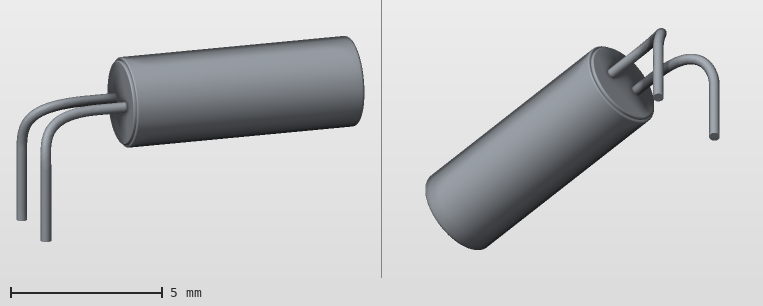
import cadquery as cq
can_diameter = 3.0
can_radius = can_diameter / 2
axis_height = can_radius
body_length = 8.0
back_rounding = 0.1
front_rounding = 0.05

plug_diameter = 2.8
plug_protrusion = 0.1
plug_rounding = 0.05

lead_diameter = 0.35
pitch_at_plug = 1.1
pitch_at_tip = 2.54
lead_reach = 3.0
level_length = 1.0
drop_length = 2.5
tip_height = -2.6
bend_end_height = tip_height + drop_length
drop_handle = 0.85

plug_face_y = lead_reach
bend_start_y = plug_face_y - level_length
can_front_y = plug_face_y + plug_protrusion
can_length = body_length - plug_protrusion


def cylinder_along_y(diameter, start_y, length):
    """Cylinder on the can axis, running from start_y toward +Y."""
    start_plane = cq.Plane(origin=(0, start_y, axis_height), xDir=(1, 0, 0), normal=(0, 1, 0))
    return cq.Workplane(start_plane).circle(diameter / 2).extrude(length)


def make_can():
    can = cylinder_along_y(can_diameter, can_front_y, can_length)
    can = can.faces(">Y").edges().fillet(back_rounding)
    return can.faces("<Y").edges().fillet(front_rounding)


def make_plug():
    plug = cylinder_along_y(plug_diameter, plug_face_y, 2 * plug_protrusion)
    return plug.faces("<Y").edges().fillet(plug_rounding)


def make_lead(side):
    """Bent lead on the +X side (side = 1) or the -X side (side = -1)."""
    plug_x = side * pitch_at_plug / 2
    tip_x = side * pitch_at_tip / 2
    lead_start = cq.Vector(plug_x, plug_face_y, axis_height)
    bend_start = cq.Vector(plug_x, bend_start_y, axis_height)
    bend_end = cq.Vector(tip_x, 0, bend_end_height)

    level_plane = cq.Plane(origin=lead_start, xDir=(1, 0, 0), normal=(0, -1, 0))
    level_run = cq.Workplane(level_plane).circle(lead_diameter / 2).extrude(level_length)

    bend_path = cq.Edge.makeBezier([
        bend_start,
        cq.Vector(plug_x, 0, axis_height),
        cq.Vector(tip_x, 0, bend_end_height + drop_handle),
        bend_end,
    ])
    bend_plane = cq.Plane(origin=bend_start, xDir=(1, 0, 0), normal=(0, -1, 0))
    bend = cq.Workplane(bend_plane).circle(lead_diameter / 2).sweep(cq.Workplane(bend_path))

    drop_plane = cq.Plane(origin=bend_end, xDir=(1, 0, 0), normal=(0, 0, -1))
    drop_run = cq.Workplane(drop_plane).circle(lead_diameter / 2).extrude(drop_length)
    return level_run.union(bend).union(drop_run)


result = make_can().union(make_plug())
for lead_side in (-1, 1):
    result = result.union(make_lead(lead_side))